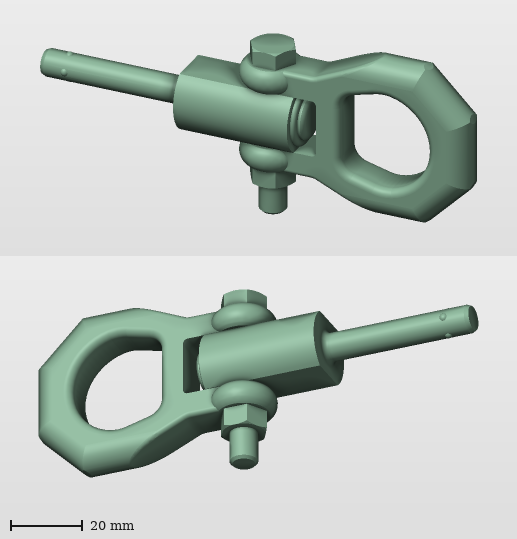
import cadquery as cq
import math


PIN_TIP_X = -69.5
SHANK_DIAMETER = 8.1
SHANK_CHAMFER_LENGTH = 1.2
SHANK_CHAMFER_DEPTH = 0.5
SHANK_ROOT_RADIUS = 1.5
BARREL_LEFT_X = -25.7
BARREL_LENGTH = 34.8
BARREL_DIAMETER = 21.4
BARREL_FLAT_HEIGHT = 8.7
BALL_DIAMETER = 2.6
BALL_X = -62.1
BALL_PROTRUSION = 0.5
BUTTON_BASE_RADIUS = 8.7
BUTTON_BASE_THICKNESS = 1.3
BUTTON_BASE_FILLET = 1.0
BUTTON_NECK_RADIUS = 6.5
BUTTON_NECK_THICKNESS = 0.8
BUTTON_DOME_RADIUS = 4.6
BUTTON_DOME_HEIGHT = 1.0
BUTTON_DOME_BULGE = 0.2

SHACKLE_WIDTH = 12.1
EYE_RIGHT_X = 61.7
EYE_HALF_HEIGHT = 24.5
EYE_SIDE_HALF_LENGTH = 10.6
EYE_TIP_FLAT_DEPTH = 0.5
ARM_OUTER_HEIGHT = 15.9
ARM_INNER_HEIGHT = BARREL_FLAT_HEIGHT
SHOULDER_START_X = 14.8
SHOULDER_END_X = 34.1
SHOULDER_BLEND_RADIUS = 4.7
OUTER_EDGE_FILLET = 1.3
FORK_END_X = 15.9
FORK_CORNER_RADIUS = 1.5
BOSS_RADIUS = 9.5
BOSS_FACE_RADIUS = 7.5

WINDOW_LEFT_X = 23.0
WINDOW_LEFT_HALF_HEIGHT = 11.5
WINDOW_FLARE_ANGLE = 14.5
WINDOW_CORNER_RADIUS = 4.9
WINDOW_CENTER_X = 35.2
WINDOW_RADIUS = 14.7
WINDOW_BLEND_RADIUS = 10.5
WINDOW_RIM_FILLET = 2.2

BOLT_DIAMETER = 8.0
HEX_SIDES = 6
HEX_ACROSS_FLATS = 12.1
HEAD_HEIGHT = 5.0
NUT_HEIGHT = 5.8
HEX_CHAMFER_ANGLE = 30
BOLT_END_Z = -31.2
BOLT_CHAMFER = 0.8

BARREL_RIGHT_X = BARREL_LEFT_X + BARREL_LENGTH
HALF_WIDTH = SHACKLE_WIDTH / 2


def round_bar_x(half_height):
    """Long bar along X of the shackle's width, with full-round upper and lower sides."""
    length = 4 * EYE_RIGHT_X
    return cq.Workplane("YZ").slot2D(2 * half_height, SHACKLE_WIDTH, 90).extrude(length / 2, both=True)


def make_button():
    base_end = BARREL_RIGHT_X + BUTTON_BASE_THICKNESS
    neck_end = base_end + BUTTON_NECK_THICKNESS
    dome_end = neck_end + BUTTON_DOME_HEIGHT
    dome_middle = (
        (neck_end + dome_end) / 2 + BUTTON_DOME_BULGE,
        (BUTTON_NECK_RADIUS + BUTTON_DOME_RADIUS) / 2 + BUTTON_DOME_BULGE,
    )
    base = (
        cq.Workplane("YZ", origin=(BARREL_RIGHT_X, 0, 0))
        .circle(BUTTON_BASE_RADIUS)
        .extrude(BUTTON_BASE_THICKNESS)
        .faces(">X")
        .edges()
        .fillet(BUTTON_BASE_FILLET)
    )
    neck_and_dome = (
        cq.Workplane("XY")
        .moveTo(BARREL_RIGHT_X, 0)
        .lineTo(BARREL_RIGHT_X, BUTTON_NECK_RADIUS)
        .lineTo(neck_end, BUTTON_NECK_RADIUS)
        .threePointArc(dome_middle, (dome_end, BUTTON_DOME_RADIUS))
        .lineTo(dome_end, 0)
        .close()
        .revolve(360, (0, 0, 0), (1, 0, 0))
    )
    return base.union(neck_and_dome)


def make_shank():
    radius = SHANK_DIAMETER / 2
    root_radius = radius + SHANK_ROOT_RADIUS
    root_start = BARREL_LEFT_X - SHANK_ROOT_RADIUS
    arc_reach = SHANK_ROOT_RADIUS * math.sqrt(0.5)
    root_middle = (root_start + arc_reach, root_radius - arc_reach)
    return (
        cq.Workplane("XY")
        .moveTo(PIN_TIP_X, 0)
        .lineTo(PIN_TIP_X, radius - SHANK_CHAMFER_DEPTH)
        .lineTo(PIN_TIP_X + SHANK_CHAMFER_LENGTH, radius)
        .lineTo(root_start, radius)
        .threePointArc(root_middle, (BARREL_LEFT_X, root_radius))
        .lineTo(BARREL_LEFT_X, 0)
        .close()
        .revolve(360, (0, 0, 0), (1, 0, 0))
    )


def make_locking_balls():
    ball_radius = BALL_DIAMETER / 2
    offset = SHANK_DIAMETER / 2 + BALL_PROTRUSION - ball_radius
    centers = [(0, offset), (0, -offset), (offset, 0), (-offset, 0)]
    return cq.Workplane("YZ", origin=(BALL_X, 0, 0)).pushPoints(centers).sphere(ball_radius)


def make_locking_pin():
    barrel = (
        cq.Workplane("YZ", origin=(BARREL_LEFT_X, 0, 0))
        .circle(BARREL_DIAMETER / 2)
        .extrude(BARREL_LENGTH)
    )
    barrel = barrel.intersect(
        cq.Workplane("XY").box(4 * BARREL_LENGTH, BARREL_DIAMETER, 2 * BARREL_FLAT_HEIGHT)
    )
    bolt_hole = cq.Workplane("XY").circle(BOLT_DIAMETER / 2).extrude(BARREL_DIAMETER, both=True)
    return barrel.cut(bolt_hole).union(make_shank()).union(make_locking_balls()).union(make_button())


def make_shackle_blank():
    """Solid plate with the two arms' outer sides and the round-edged eye."""
    slant_distance = (EYE_RIGHT_X + EYE_SIDE_HALF_LENGTH) * math.sqrt(0.5)
    far_top_x = EYE_RIGHT_X + EYE_SIDE_HALF_LENGTH - EYE_HALF_HEIGHT
    outline = [
        (0, -ARM_OUTER_HEIGHT),
        (SHOULDER_START_X, -ARM_OUTER_HEIGHT),
        (SHOULDER_END_X, -EYE_HALF_HEIGHT),
        (EYE_RIGHT_X, -EYE_HALF_HEIGHT),
        (EYE_RIGHT_X, EYE_HALF_HEIGHT),
        (SHOULDER_END_X, EYE_HALF_HEIGHT),
        (SHOULDER_START_X, ARM_OUTER_HEIGHT),
        (0, ARM_OUTER_HEIGHT),
    ]
    blank = cq.Workplane("XZ").polyline(outline).close().extrude(HALF_WIDTH, both=True)
    shoulder_edges = cq.selectors.BoxSelector(
        (SHOULDER_START_X - 1.3, -SHACKLE_WIDTH, -ARM_OUTER_HEIGHT - 1.3),
        (SHOULDER_START_X + 1.3, SHACKLE_WIDTH, ARM_OUTER_HEIGHT + 1.3),
    )
    blank = blank.edges("|Y").edges(shoulder_edges).fillet(SHOULDER_BLEND_RADIUS)

    blank = blank.intersect(round_bar_x(EYE_HALF_HEIGHT))
    blank = blank.intersect(round_bar_x(EYE_RIGHT_X).rotate((0, 0, 0), (0, 1, 0), 90))
    for tilt in (45, -45):
        blank = blank.intersect(round_bar_x(slant_distance).rotate((0, 0, 0), (0, 1, 0), tilt))

    for corner_x, corner_z, bisector in (
        (EYE_RIGHT_X, EYE_SIDE_HALF_LENGTH, 22.5),
        (far_top_x, EYE_HALF_HEIGHT, 67.5),
    ):
        angle = math.radians(bisector)
        reach = corner_x * math.cos(angle) + corner_z * math.sin(angle) - EYE_TIP_FLAT_DEPTH
        trim = cq.Workplane("XY").box(2 * reach, 2 * SHACKLE_WIDTH, 4 * EYE_RIGHT_X)
        for turn in (-bisector, bisector):
            blank = blank.intersect(trim.rotate((0, 0, 0), (0, 1, 0), turn))

    upper_faces = cq.selectors.BoxSelector(
        (0, -HALF_WIDTH, ARM_INNER_HEIGHT), (SHOULDER_END_X, HALF_WIDTH, EYE_HALF_HEIGHT)
    )
    lower_faces = cq.selectors.BoxSelector(
        (0, -HALF_WIDTH, -EYE_HALF_HEIGHT), (SHOULDER_END_X, HALF_WIDTH, -ARM_INNER_HEIGHT)
    )
    outer_faces = upper_faces + lower_faces
    return blank.faces(outer_faces).edges("not |Y").fillet(OUTER_EDGE_FILLET)


def make_fork_slot():
    return (
        cq.Workplane("XY")
        .box(2 * FORK_END_X, 2 * SHACKLE_WIDTH, 2 * ARM_INNER_HEIGHT)
        .edges("|Y and >X")
        .fillet(FORK_CORNER_RADIUS)
    )


def make_window():
    """Opening with a straight left side, two flaring sides and a round right end."""
    slope = math.tan(math.radians(WINDOW_FLARE_ANGLE))
    line_distance = (
        WINDOW_LEFT_HALF_HEIGHT + (WINDOW_CENTER_X - WINDOW_LEFT_X) * slope
    ) * math.cos(math.radians(WINDOW_FLARE_ANGLE))
    meeting_angle = math.radians(90 + WINDOW_FLARE_ANGLE) - math.acos(line_distance / WINDOW_RADIUS)
    meeting_x = WINDOW_CENTER_X + WINDOW_RADIUS * math.cos(meeting_angle)
    meeting_z = WINDOW_RADIUS * math.sin(meeting_angle)
    window = (
        cq.Workplane("XZ")
        .moveTo(WINDOW_LEFT_X, -WINDOW_LEFT_HALF_HEIGHT)
        .lineTo(meeting_x, -meeting_z)
        .threePointArc((WINDOW_CENTER_X + WINDOW_RADIUS, 0), (meeting_x, meeting_z))
        .lineTo(WINDOW_LEFT_X, WINDOW_LEFT_HALF_HEIGHT)
        .close()
        .extrude(SHACKLE_WIDTH, both=True)
    )
    window = window.edges("|Y and <X").fillet(WINDOW_CORNER_RADIUS)
    meeting_edges = cq.selectors.BoxSelector(
        (meeting_x - 1.3, -1.3, -EYE_HALF_HEIGHT), (meeting_x + 1.3, 1.3, EYE_HALF_HEIGHT)
    )
    return window.edges("|Y").edges(meeting_edges).fillet(WINDOW_BLEND_RADIUS)


def make_boss(bottom_z):
    height = ARM_OUTER_HEIGHT - ARM_INNER_HEIGHT
    return (
        cq.Workplane("XZ", origin=(0, 0, bottom_z))
        .lineTo(BOSS_FACE_RADIUS, 0)
        .threePointArc((BOSS_RADIUS, height / 2), (BOSS_FACE_RADIUS, height))
        .lineTo(0, height)
        .close()
        .revolve(360, (0, 0, 0), (0, 1, 0))
    )


def make_hexagon(height):
    """Hexagon standing on Z = 0, with corners on the X axis and a chamfered upper end."""
    flat_radius = HEX_ACROSS_FLATS / 2
    corner_radius = flat_radius / math.cos(math.pi / HEX_SIDES)
    drop = (corner_radius - flat_radius) * math.tan(math.radians(HEX_CHAMFER_ANGLE))
    chamfer_cone = (
        cq.Workplane("XZ")
        .lineTo(corner_radius, 0)
        .lineTo(corner_radius, height - drop)
        .lineTo(flat_radius, height)
        .lineTo(0, height)
        .close()
        .revolve(360, (0, 0, 0), (0, 1, 0))
    )
    return cq.Workplane("XY").polygon(HEX_SIDES, 2 * corner_radius).extrude(height).intersect(chamfer_cone)


def make_bolt():
    shank = (
        cq.Workplane("XY", origin=(0, 0, BOLT_END_Z))
        .circle(BOLT_DIAMETER / 2)
        .extrude(ARM_OUTER_HEIGHT - BOLT_END_Z)
        .faces("<Z")
        .chamfer(BOLT_CHAMFER)
    )
    head = make_hexagon(HEAD_HEIGHT).translate((0, 0, ARM_OUTER_HEIGHT))
    nut = make_hexagon(NUT_HEIGHT).mirror("XY").translate((0, 0, -ARM_OUTER_HEIGHT))
    return shank.union(head).union(nut)


def make_shackle():
    body = make_shackle_blank().cut(make_fork_slot()).cut(make_window())
    rim_zone = cq.selectors.BoxSelector(
        (WINDOW_LEFT_X - 1.3, -SHACKLE_WIDTH, -WINDOW_RADIUS - 1.3),
        (WINDOW_CENTER_X + WINDOW_RADIUS + 1.3, SHACKLE_WIDTH, WINDOW_RADIUS + 1.3),
    )
    body = body.edges(rim_zone).edges("not |Y").fillet(WINDOW_RIM_FILLET)
    for boss_bottom in (ARM_INNER_HEIGHT, -ARM_OUTER_HEIGHT):
        body = body.union(make_boss(boss_bottom))
    return body.union(make_bolt())


locking_pin = make_locking_pin()
shackle = make_shackle()

result = cq.Compound.makeCompound([locking_pin.val(), shackle.val()])